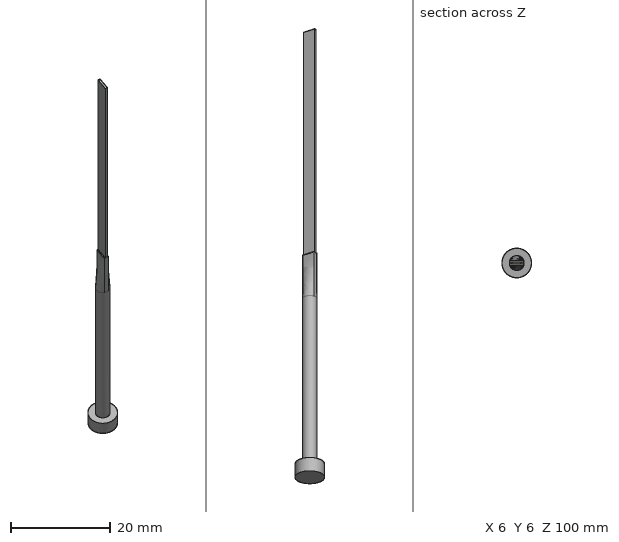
import cadquery as cq
import math

head_height = 3.0
shank_top = 40.0
taper_top = 50.0
overall_height = 100.0

head_diameter = 6.0
shank_diameter = 3.0
blade_thickness = 0.5
taper_tip_thickness = 1.0
blade_width = math.sqrt(shank_diameter**2 - taper_tip_thickness**2)


def make_taper():
    """Ruled transition from the round shank to a flat rectangle."""
    radius = shank_diameter / 2
    half_width = blade_width / 2
    half_tip = taper_tip_thickness / 2
    return (
        cq.Workplane("XY", origin=(0, 0, shank_top))
        .moveTo(-half_width, -half_tip)
        .threePointArc((0, -radius), (half_width, -half_tip))
        .threePointArc((radius, 0), (half_width, half_tip))
        .threePointArc((0, radius), (-half_width, half_tip))
        .threePointArc((-radius, 0), (-half_width, -half_tip))
        .close()
        .workplane(offset=taper_top - shank_top)
        .moveTo(-half_width, -half_tip)
        .lineTo(half_width, -half_tip)
        .lineTo(half_width, half_tip)
        .lineTo(-half_width, half_tip)
        .close()
        .loft(ruled=True)
    )


head = cq.Workplane("XY").circle(head_diameter / 2).extrude(head_height)
shank = cq.Workplane("XY").circle(shank_diameter / 2).extrude(shank_top)
blade = (
    cq.Workplane("XY", origin=(0, 0, taper_top))
    .rect(blade_width, blade_thickness)
    .extrude(overall_height - taper_top)
)

result = head.union(shank).union(make_taper()).union(blade)